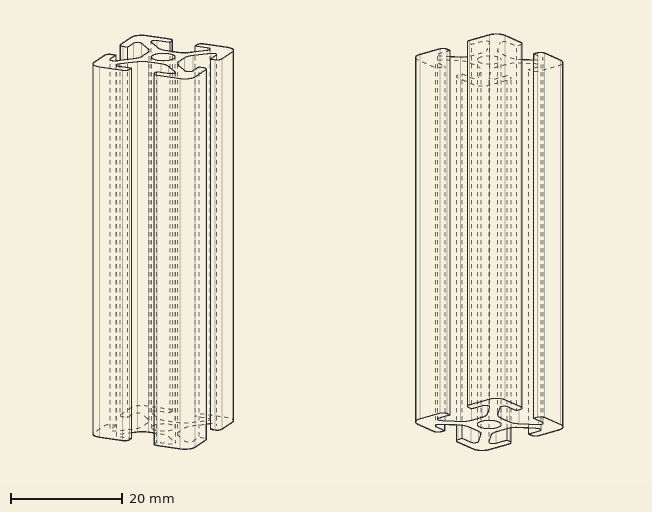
import cadquery as cq

length = 70.0
side = 20.0
corner_radius = 2.0

slot_opening = 5.0
lip_thickness = 1.8
lip_radius = 0.9
core_width = 7.3
web_offset = 1.3
pocket_radius = 0.8
core_radius = 2.65

bore_diameter = 4.3

half_side = side / 2
half_opening = slot_opening / 2
half_core = core_width / 2
lip_inner = half_side - lip_thickness
slot_floor_half = half_core - web_offset
pocket_half = lip_inner - web_offset


def vertical_edges_at(x, y):
    """Select the pair of Z-parallel edges at (+x, y) and (-x, y)."""
    margin = 0.1
    right = cq.selectors.BoxSelector(
        (x - margin, y - margin, -margin), (x + margin, y + margin, length + margin)
    )
    left = cq.selectors.BoxSelector(
        (-x - margin, y - margin, -margin), (-x + margin, y + margin, length + margin)
    )
    return right + left


def make_slot():
    """Cutter for the +Y slot: a dovetail pocket behind a narrower opening."""
    pocket = (
        cq.Workplane("XY")
        .polyline([
            (-slot_floor_half, half_core),
            (slot_floor_half, half_core),
            (pocket_half, lip_inner),
            (-pocket_half, lip_inner),
        ])
        .close()
        .extrude(length)
        .edges(vertical_edges_at(slot_floor_half, half_core))
        .fillet(core_radius)
        .edges(vertical_edges_at(pocket_half, lip_inner))
        .fillet(pocket_radius)
    )
    opening = (
        cq.Workplane("XY")
        .center(0, half_side - lip_thickness / 2)
        .rect(slot_opening, lip_thickness)
        .extrude(length)
    )
    return pocket.union(opening)


body = cq.Workplane("XY").rect(side, side).extrude(length).edges("|Z").fillet(corner_radius)

slot = make_slot()
for angle in (0, 90, 180, 270):
    body = body.cut(slot.rotate((0, 0, 0), (0, 0, 1), angle))

for lip_side in (1, -1):
    body = body.edges(vertical_edges_at(half_opening, lip_side * half_side)).fillet(lip_radius)
    body = body.edges(vertical_edges_at(half_side, lip_side * half_opening)).fillet(lip_radius)

result = body.faces(">Z").workplane(origin=(0, 0, length)).hole(bore_diameter)